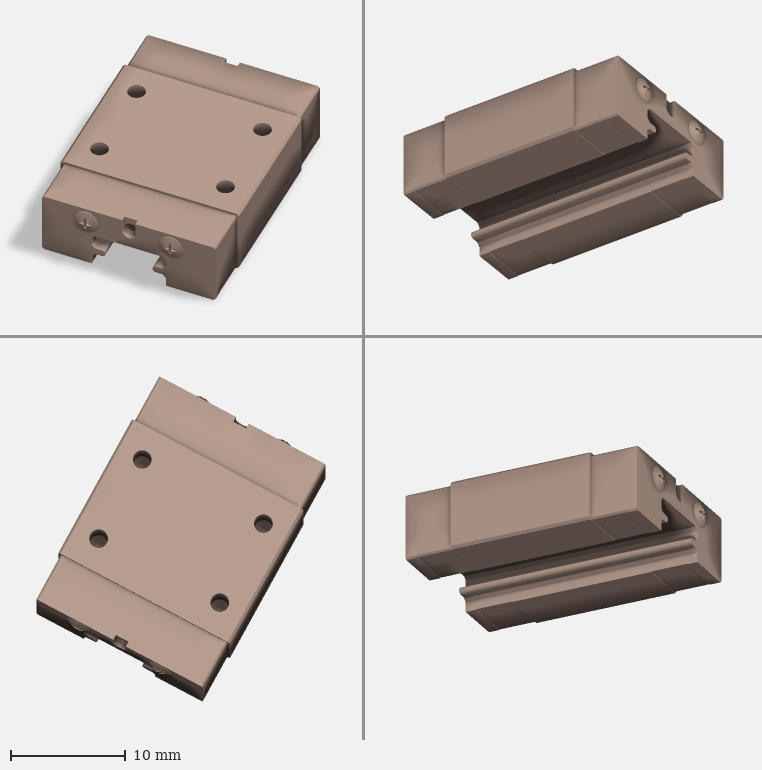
import cadquery as cq
import math


total_length = 23.37
body_width = 17.0
body_height = 6.5
body_length = 13.5
body_chamfer = 0.23

end_step = 0.25
cap_width = body_width - 2 * end_step
cap_height = body_height - end_step
cap_chamfer = 0.16
cap_block_length = 3.5
cap_block_clearance = 0.05
seal_thickness = 1.0
cap_block_end = body_length / 2 + cap_block_length
seal_face = cap_block_end + seal_thickness

channel_half_width = 3.53
channel_height = 3.32
channel_chamfer = 0.3
lip_reach = 2.25
lip_thickness = 0.65
lip_middle = 1.57
lip_root = 0.33

hole_diameter = 1.64
hole_spacing_x = 12.0
hole_spacing_y = 8.0
hole_depth = 2.5
drill_angle = 120.0

port_diameter = 1.26
port_height = 4.98
port_slot_depth = 0.5

screw_offset = 4.05
screw_height = 4.81
screw_radius = 1.17
cone_radius = 1.08
rim_height = 0.07
head_height = total_length / 2 - seal_face
recess_length = 1.17
recess_width = 0.23
recess_depth = 0.28


def block(width, height, y_start, y_end, chamfer, bottom=0.0):
    """Box centred on X between two Y planes, its long edges chamfered."""
    box = cq.Workplane("XY").box(width, y_end - y_start, height - bottom, centered=(True, False, False))
    return box.edges("|Y").chamfer(chamfer).translate((0, y_start, bottom))


def both_ends(front_feature):
    """Feature at the -Y end joined with its mirror image at the +Y end."""
    return front_feature.union(front_feature.mirror("XZ"))


def carriage_blocks():
    body = block(body_width, body_height, -body_length / 2, body_length / 2, body_chamfer)
    cap = block(cap_width, cap_height, -cap_block_end, -body_length / 2, cap_chamfer, cap_block_clearance)
    seal = block(cap_width, cap_height, -seal_face, -cap_block_end, cap_chamfer)
    return body.union(both_ends(cap.union(seal)))


def rail_channel():
    """Channel for the rail, with a round-nosed lip reaching in from each wall."""
    lip_radius = lip_thickness / 2
    lip_top = lip_middle + lip_radius
    lip_bottom = lip_middle - lip_radius
    root_x = channel_half_width - lip_root
    nose_x = lip_reach + lip_radius
    half = (
        cq.Workplane("XZ", origin=(0, total_length / 2, 0))
        .lineTo(channel_half_width, 0)
        .lineTo(channel_half_width, lip_bottom - lip_root)
        .lineTo(root_x, lip_bottom)
        .lineTo(nose_x, lip_bottom)
        .threePointArc((lip_reach, lip_middle), (nose_x, lip_top))
        .lineTo(root_x, lip_top)
        .lineTo(channel_half_width, lip_top + lip_root)
        .lineTo(channel_half_width, channel_height - channel_chamfer)
        .lineTo(channel_half_width - channel_chamfer, channel_height)
        .lineTo(0, channel_height)
        .close()
        .extrude(total_length)
    )
    return half.union(half.mirror("YZ"))


def mounting_holes():
    """Four blind holes with conical drill points, sunk from the top face."""
    radius = hole_diameter / 2
    point_depth = radius / math.tan(math.radians(drill_angle / 2))
    drill = (
        cq.Workplane("XZ")
        .lineTo(radius, 0)
        .lineTo(radius, -hole_depth)
        .lineTo(0, -hole_depth - point_depth)
        .close()
        .revolve(360, (0, 0, 0), (0, 1, 0))
    )
    pattern = cq.Workplane("XY", origin=(0, 0, body_height)).rarray(hole_spacing_x, hole_spacing_y, 2, 2)
    return pattern.eachpoint(lambda place: drill.val().moved(place), combine=False)


def grease_port():
    """Round port through the seal plate with a shallow slot open to the top."""
    face = cq.Workplane("XZ", origin=(0, -seal_face, 0))
    port = face.center(0, port_height).circle(port_diameter / 2).extrude(-seal_thickness)
    slot_height = cap_height - port_height
    slot_middle = port_height + slot_height / 2
    slot = face.center(0, slot_middle).rect(port_diameter, slot_height).extrude(-port_slot_depth)
    return port.union(slot)


def screw_head():
    """Conical head with a tapered rim and a cross recess, standing on the -Y seal plate."""
    corner_radius = recess_width / math.sqrt(2)
    cone_slope = (head_height - rim_height) / (cone_radius - corner_radius)
    tip_height = rim_height + cone_radius * cone_slope
    head = (
        cq.Workplane("XY")
        .lineTo(screw_radius, 0)
        .lineTo(cone_radius, -rim_height)
        .lineTo(0, -tip_height)
        .close()
        .revolve(360, (0, 0, 0), (0, 1, 0))
    )
    recess_floor = head_height - recess_depth
    recess = (
        cq.Workplane("XZ", origin=(0, -recess_floor, 0))
        .rect(recess_length, recess_width)
        .extrude(tip_height - recess_floor)
    )
    return head.cut(recess).cut(recess.rotate((0, 0, 0), (0, 1, 0), 90))


result = carriage_blocks().cut(rail_channel()).cut(mounting_holes()).cut(both_ends(grease_port()))
for side in (1, -1):
    screw = screw_head().translate((side * screw_offset, -seal_face, screw_height))
    result = result.union(both_ends(screw))